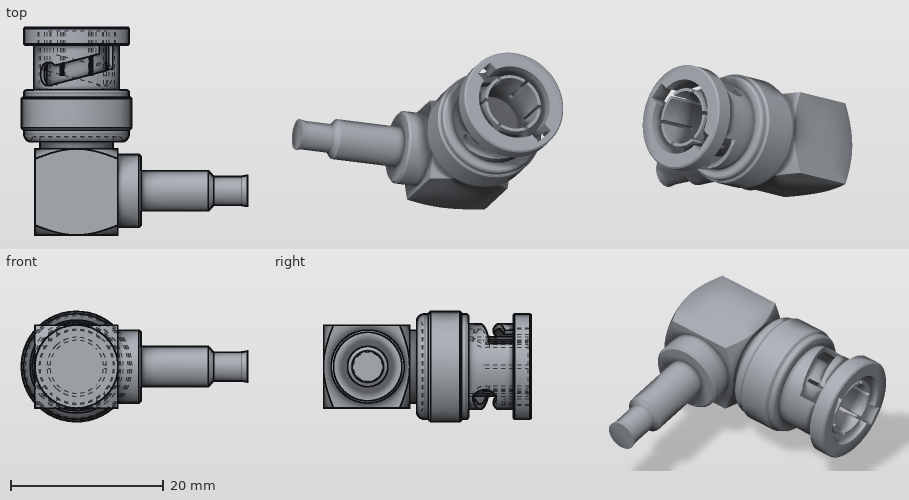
import cadquery as cq
import math


block_width = 10.9
block_back = 5.8
block_front = 5.5
corner_bevel_angle = 30.0
bevel_margin = 0.2

collar_diameter = 9.6
collar_length = 3.05
collar_chamfer = 0.3
ferrule_diameter = 5.3
ferrule_length = 8.8
ferrule_taper = 0.7
cable_diameter = 3.8
cable_length = 3.6
flare_diameter = 4.1
flare_length = 0.87

neck_diameter = 9.6
neck_length = 0.9
tail_length = 1.55
grip_length = 4.35
lip_length = 0.95
sleeve_length = 5.85
flange_length = 2.4
rim_diameter = 13.85
grip_diameter = 14.5
sleeve_diameter = 11.25
bore_diameter = 9.9
flange_chamfer = 0.2
lip_fillet = 0.4
tail_fillet = 1.1
recess_mouth_diameter = 12.25
recess_taper_diameter = 11.6
recess_taper_depth = 0.7
recess_floor_diameter = 11.1
recess_depth = 0.8
grip_front_chamfer = 0.2
grip_back_chamfer = (grip_diameter - rim_diameter) / 2
cove_fillet = 0.12

tube_diameter = 7.8
tube_wall = 0.4
tube_setback = 0.5
slit_count = 6
slit_width = 0.5
slit_end_depth = 6.3

slot_count = 2
slot_width = 2.44
entry_angle = 45.0
entry_depth = 5.55
entry_outer_radius = 6.0
detent_diameter = 3.1
detent_depth = 6.17
detent_angle = 41.0
ramp_slope = 0.262
ramp_offset = 0.15

neck_end = block_front + neck_length
tail_end = neck_end + tail_length
grip_end = tail_end + grip_length
lip_end = grip_end + lip_length
flange_start = lip_end + sleeve_length
open_end = flange_start + flange_length


def disc(diameter, start, end):
    """Cylinder on the coupling axis between two Y stations."""
    plane = cq.Workplane("XZ", origin=(0, start, 0))
    return plane.circle(diameter / 2).extrude(start - end)


def make_block():
    """Square block whose corners are bevelled by a cone at both Y ends."""
    half = block_width / 2
    corner_radius = half * math.sqrt(2) + bevel_margin
    bevel = (corner_radius - half) * math.tan(math.radians(corner_bevel_angle))
    envelope = (
        cq.Workplane("XY")
        .polyline([
            (0, -block_back),
            (half, -block_back),
            (corner_radius, -block_back + bevel),
            (corner_radius, block_front - bevel),
            (half, block_front),
            (0, block_front),
        ])
        .close()
        .revolve(360, (0, 0, 0), (0, 1, 0))
    )
    block_length = block_back + block_front
    middle = (block_front - block_back) / 2
    box = cq.Workplane("XY").box(block_width, block_length, block_width).translate((0, middle, 0))
    return box.intersect(envelope)


def make_cable_side():
    """Collar, crimp ferrule and flared cable end, turned about X."""
    face = block_width / 2
    collar_end = face + collar_length
    ferrule_end = collar_end + ferrule_length
    taper_end = ferrule_end + ferrule_taper
    flare_start = taper_end + cable_length
    cable_end = flare_start + flare_length
    collar_radius = collar_diameter / 2
    return (
        cq.Workplane("XY")
        .polyline([
            (0, 0),
            (0, collar_radius),
            (collar_end - collar_chamfer, collar_radius),
            (collar_end, collar_radius - collar_chamfer),
            (collar_end, ferrule_diameter / 2),
            (ferrule_end, ferrule_diameter / 2),
            (taper_end, cable_diameter / 2),
            (flare_start, cable_diameter / 2),
            (cable_end, flare_diameter / 2),
            (cable_end, 0),
        ])
        .close()
        .revolve(360, (0, 0, 0), (1, 0, 0))
    )


def make_tail_recess():
    """Tapered mouth and stepped floor of the hollow around the neck."""
    taper_end = neck_end + recess_taper_depth
    floor = neck_end + recess_depth
    return (
        cq.Workplane("XY")
        .polyline([
            (0, neck_end),
            (recess_mouth_diameter / 2, neck_end),
            (recess_taper_diameter / 2, taper_end),
            (recess_floor_diameter / 2, taper_end),
            (recess_floor_diameter / 2, floor),
            (0, floor),
        ])
        .close()
        .revolve(360, (0, 0, 0), (0, 1, 0))
    )


def make_coupling_body():
    """Neck, recessed and rounded tail, grip ring, lip, sleeve and flange."""
    tail = disc(rim_diameter, neck_end, grip_end).faces("<Y").edges().fillet(tail_fillet)
    tail = tail.cut(make_tail_recess())
    grip = disc(grip_diameter, tail_end, grip_end)
    grip = grip.faces(">Y").edges().chamfer(grip_front_chamfer)
    grip = grip.faces("<Y").edges().chamfer(grip_back_chamfer)
    lip = disc(rim_diameter, tail_end, lip_end).faces(">Y").edges().fillet(lip_fillet)
    flange = disc(rim_diameter, flange_start, open_end).edges().chamfer(flange_chamfer)
    ring = grip.union(lip)
    lip_root = ring.faces(cq.selectors.NearestToPointSelector((0, grip_end, 0)))
    lip_root = lip_root.edges(cq.selectors.RadiusNthSelector(0))
    ring = lip_root.fillet(cove_fillet)
    body = disc(sleeve_diameter, grip_end, open_end).union(ring).union(flange).union(tail)
    body = body.cut(disc(bore_diameter, lip_end, open_end))
    return body.union(disc(neck_diameter, 0, grip_end))


def make_bayonet_slot():
    """Entry channel, straight ramp and round detent on the +Z side."""
    entry_floor = open_end - entry_depth
    entry = (
        cq.Workplane("XY")
        .box(slot_width, entry_depth, entry_outer_radius, centered=(True, False, False))
        .translate((0, entry_floor, 0))
        .rotate((0, 0, 0), (0, 1, 0), entry_angle)
    )
    detent = (
        cq.Workplane("XY", origin=(0, open_end - detent_depth, 0))
        .circle(detent_diameter / 2)
        .extrude(sleeve_diameter)
        .rotate((0, 0, 0), (0, 1, 0), -detent_angle)
    )
    sleeve_radius = sleeve_diameter / 2
    ramp_right = sleeve_radius * math.sin(math.radians(entry_angle))
    ramp_left = -sleeve_radius * math.sin(math.radians(detent_angle))
    right_wall = entry_floor - ramp_offset
    left_wall = right_wall - ramp_slope * (ramp_right - ramp_left)
    ramp = (
        cq.Workplane("XY")
        .polyline([
            (ramp_right, right_wall),
            (ramp_right, right_wall + slot_width),
            (ramp_left, left_wall + slot_width),
            (ramp_left, left_wall),
        ])
        .close()
        .extrude(sleeve_diameter)
    )
    return entry.union(ramp).union(detent)


def make_spring_tube():
    """Thin tube inside the sleeve, split into fingers by radial slits."""
    tip = open_end - tube_setback
    tube = disc(tube_diameter, lip_end, tip).cut(disc(tube_diameter - 2 * tube_wall, lip_end, tip))
    slit = (
        cq.Workplane("XY")
        .box(tube_diameter, slit_end_depth, slit_width, centered=(False, False, True))
        .translate((0, open_end - slit_end_depth, 0))
    )
    for index in range(slit_count):
        tube = tube.cut(slit.rotate((0, 0, 0), (0, 1, 0), index * 360 / slit_count))
    return tube


coupling = make_coupling_body()
bayonet_slot = make_bayonet_slot()
for index in range(slot_count):
    coupling = coupling.cut(bayonet_slot.rotate((0, 0, 0), (0, 1, 0), index * 360 / slot_count))

result = coupling.union(make_spring_tube()).union(make_block()).union(make_cable_side())